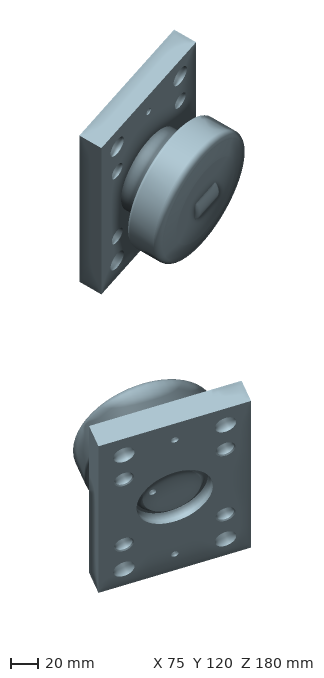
import cadquery as cq
import math

plate_thickness = 20.0
plate_width = 120.0
plate_height = 180.0

hole_offset_y = 40.0
outer_hole_offset_z = 70.0
inner_hole_offset_z = 40.0
bolt_hole_diameter = 17.0
pin_hole_diameter = 6.1
threaded_hole_diameter = 13.9
threaded_hole_chamfer = 0.9

bore_radius = 30.0
shaft_end_depth = 6.0
shaft_end_radius = 27.5
shaft_end_chamfer = 4.5
bore_depth = shaft_end_depth + shaft_end_chamfer
shaft_radius = 35.1

grease_hole_y = 15.3
grease_hole_z = 5.5
grease_hole_diameter = 6.0
grease_hole_depth = 10.8
grease_hole_point_angle = 118

collar_start = 38.0
collar_radius = 37.0
roller_start = 40.0
roller_radius = 55.8
roller_back_round = 2.5
rim_round_start = 64.5
rim_round = 5.0
crown_edge_x = rim_round_start + rim_round
face_x = 71.5
face_radius = collar_radius
crown_bulge = 0.27

pad_top_x = 75.0
pad_height = 19.8
pad_width = 27.9
pad_end_round = 3.0


def hole_cutter(places, diameter):
    """Cylinders through the plate at the given (y, z) places."""
    return (
        cq.Workplane("YZ").pushPoints(places)
        .circle(diameter / 2).extrude(plate_thickness)
    )


def corner_places(offset_z):
    return [(y, z) for y in (-hole_offset_y, hole_offset_y) for z in (-offset_z, offset_z)]


def make_plate():
    plate = cq.Workplane("YZ").rect(plate_width, plate_height).extrude(plate_thickness)
    plate = plate.cut(hole_cutter(corner_places(outer_hole_offset_z), bolt_hole_diameter))
    pin_places = [(0, -outer_hole_offset_z), (0, outer_hole_offset_z)]
    plate = plate.cut(hole_cutter(pin_places, pin_hole_diameter))

    threaded_places = corner_places(inner_hole_offset_z)
    plate = plate.cut(hole_cutter(threaded_places, threaded_hole_diameter))
    countersinks = (
        cq.Workplane("YZ").pushPoints(threaded_places)
        .circle(threaded_hole_diameter / 2 + threaded_hole_chamfer)
        .extrude(threaded_hole_chamfer, taper=45)
    )
    bore = cq.Workplane("YZ").circle(bore_radius).extrude(bore_depth)
    return plate.cut(countersinks).cut(bore)


def make_shaft():
    shaft_end = (
        cq.Workplane("YZ", origin=(shaft_end_depth, 0, 0))
        .circle(shaft_end_radius).extrude(plate_thickness - shaft_end_depth)
        .faces("<X").chamfer(shaft_end_chamfer)
    )
    neck = (
        cq.Workplane("YZ", origin=(plate_thickness, 0, 0))
        .circle(shaft_radius).extrude(roller_start - plate_thickness)
    )
    return shaft_end.union(neck)


def make_roller():
    """Collar and roller revolved about X, with a slightly crowned outer face."""
    crown_edge_radius = roller_radius - rim_round
    crown_middle = (
        (crown_edge_x + face_x) / 2 + crown_bulge,
        (crown_edge_radius + face_radius) / 2,
    )
    return (
        cq.Workplane("XY")
        .moveTo(collar_start, 0)
        .lineTo(collar_start, collar_radius)
        .lineTo(roller_start, collar_radius)
        .lineTo(roller_start, roller_radius - roller_back_round)
        .tangentArcPoint((roller_start + roller_back_round, roller_radius), relative=False)
        .lineTo(rim_round_start, roller_radius)
        .tangentArcPoint((crown_edge_x, crown_edge_radius), relative=False)
        .threePointArc(crown_middle, (face_x, face_radius))
        .lineTo(face_x, 0)
        .close()
        .revolve(360, (0, 0, 0), (1, 0, 0))
    )


def make_pad():
    """Arched pad along Y whose arched end edges are rounded."""
    return (
        cq.Workplane("XZ", origin=(0, pad_width / 2, 0))
        .moveTo(face_x, -pad_height / 2)
        .threePointArc((pad_top_x, 0), (face_x, pad_height / 2))
        .close()
        .extrude(pad_width)
        .edges("%CIRCLE")
        .fillet(pad_end_round)
    )


def cut_grease_hole(body):
    """Drill a blind hole with a conical bottom into the shaft end."""
    radius = grease_hole_diameter / 2
    point_length = radius / math.tan(math.radians(grease_hole_point_angle / 2))
    bottom = shaft_end_depth + grease_hole_depth
    hole = (
        cq.Workplane("XY")
        .moveTo(shaft_end_depth, 0)
        .lineTo(shaft_end_depth, radius)
        .lineTo(bottom, radius)
        .lineTo(bottom + point_length, 0)
        .close()
        .revolve(360, (0, 0, 0), (1, 0, 0))
        .translate((0, grease_hole_y, grease_hole_z))
    )
    return body.cut(hole)


body = make_plate().union(make_shaft()).union(make_roller()).union(make_pad())
result = cut_grease_hole(body)